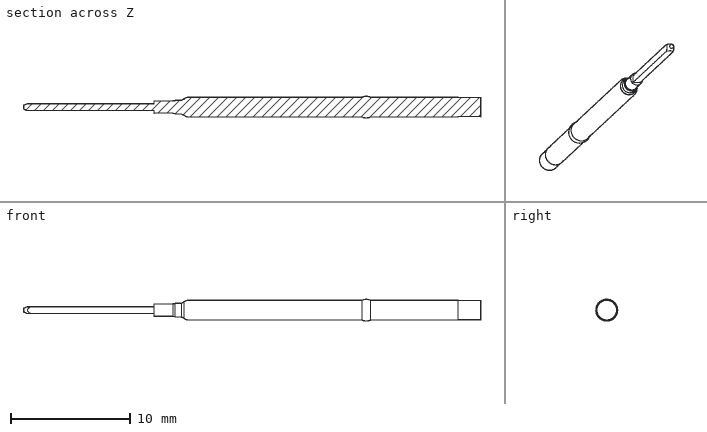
import cadquery as cq
import math

TOTAL_LENGTH = 38.33
CONE_LENGTH = 0.60
COLLAR_START = 10.91
RING_START = 12.53
NECK_START = 12.68
NECK_NOSE_END = 12.87
FLARE_START = 13.22
FLARE_END = 13.46
BARREL_NOSE_END = 13.80
BEAD_START = 28.36
BEAD_END = 29.09
TAIL_START = 36.43

PIN_WIDTH = 0.60
TIP_DIAMETER = 0.34
COLLAR_DIAMETER = 1.05
RING_DIAMETER = 1.10
NECK_NOSE_DIAMETER = 1.15
NECK_DIAMETER = 1.19
FLARE_DIAMETER = 1.38
SHOULDER_DIAMETER = 1.42
BARREL_DIAMETER = 1.68
TAIL_DIAMETER = 1.64
BEAD_DIAMETER = 1.85


def revolve_about_x(profile):
    """Turn a closed half profile about the X axis."""
    return profile.revolve(360, (0, 0, 0), (1, 0, 0))


def nose_middle(start, start_radius, end, end_radius):
    """Middle point of an arc that runs out smoothly into a cylinder at its end."""
    length = end - start
    rise = end_radius - start_radius
    arc_radius = (length**2 + rise**2) / (2 * rise)
    half_angle = math.atan2(rise, length)
    middle_x = end - arc_radius * math.sin(half_angle)
    middle_radius = end_radius - arc_radius * (1 - math.cos(half_angle))
    return (middle_x, middle_radius)


def square_pin():
    """Square pin whose end is turned down to a blunt cone."""
    length = COLLAR_START
    corner_radius = PIN_WIDTH / math.sqrt(2)
    square = cq.Workplane("YZ").rect(PIN_WIDTH, PIN_WIDTH).extrude(length)
    envelope = revolve_about_x(
        cq.Workplane("XY")
        .lineTo(0, TIP_DIAMETER / 2)
        .lineTo(CONE_LENGTH, corner_radius)
        .lineTo(length, corner_radius)
        .lineTo(length, 0)
        .close()
    )
    return square.intersect(envelope)


def turned_body():
    """Collar, ring, neck, barrel, bead and tail as one turned profile."""
    collar_radius = COLLAR_DIAMETER / 2
    ring_radius = RING_DIAMETER / 2
    neck_nose_radius = NECK_NOSE_DIAMETER / 2
    neck_radius = NECK_DIAMETER / 2
    flare_radius = FLARE_DIAMETER / 2
    shoulder_radius = SHOULDER_DIAMETER / 2
    barrel_radius = BARREL_DIAMETER / 2
    tail_radius = TAIL_DIAMETER / 2

    neck_nose_middle = nose_middle(NECK_START, neck_nose_radius, NECK_NOSE_END, neck_radius)
    barrel_nose_middle = nose_middle(FLARE_END, shoulder_radius, BARREL_NOSE_END, barrel_radius)
    bead_middle = ((BEAD_START + BEAD_END) / 2, BEAD_DIAMETER / 2)

    return revolve_about_x(
        cq.Workplane("XY")
        .moveTo(COLLAR_START, 0)
        .lineTo(COLLAR_START, collar_radius)
        .lineTo(RING_START, collar_radius)
        .lineTo(RING_START, ring_radius)
        .lineTo(NECK_START, ring_radius)
        .lineTo(NECK_START, neck_nose_radius)
        .threePointArc(neck_nose_middle, (NECK_NOSE_END, neck_radius))
        .lineTo(FLARE_START, neck_radius)
        .lineTo(FLARE_END, flare_radius)
        .lineTo(FLARE_END, shoulder_radius)
        .threePointArc(barrel_nose_middle, (BARREL_NOSE_END, barrel_radius))
        .lineTo(BEAD_START, barrel_radius)
        .threePointArc(bead_middle, (BEAD_END, barrel_radius))
        .lineTo(TAIL_START, barrel_radius)
        .lineTo(TAIL_START, tail_radius)
        .lineTo(TOTAL_LENGTH, tail_radius)
        .lineTo(TOTAL_LENGTH, 0)
        .close()
    )


result = square_pin().union(turned_body())